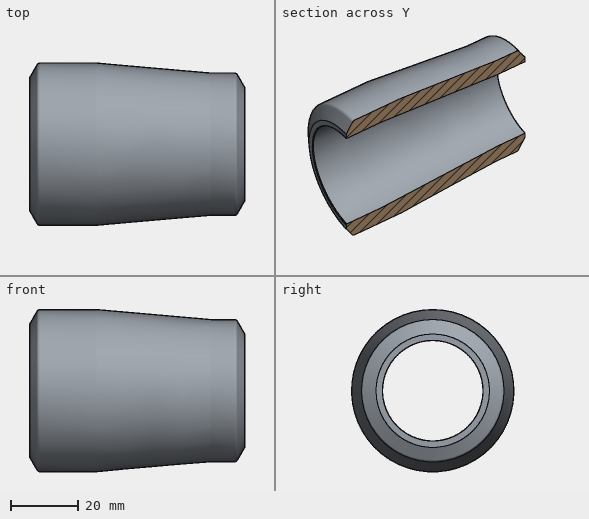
import cadquery as cq
import math

length = 64.0
large_end_length = 20.0
small_end_length = 10.0

large_diameter = 48.3
small_diameter = 42.4
large_bore = 35.7
small_bore = 29.8

bevel_depth = 2.5
large_face_diameter = 39.7
small_face_diameter = large_face_diameter - (large_diameter - small_diameter)

bevel_edge_radius = 1.0
taper_edge_radius = 2.0
mouth_chamfer = 0.25

large_bevel_end = bevel_depth
small_bevel_start = length - bevel_depth
taper_start = large_end_length
taper_end = length - small_end_length
bore_taper_start = 12.4
bore_taper_end = taper_end


def revolved_about_x(profile):
    """Solid of revolution about X from a closed half profile."""
    return profile.close().revolve(360, (0, 0, 0), (1, 0, 0))


def add_rounded_corner(profile, before, corner, after, radius):
    """Draw to a corner of the profile and round it with a tangent arc."""
    corner = cq.Vector(*corner)
    to_before = (cq.Vector(*before) - corner).normalized()
    to_after = (cq.Vector(*after) - corner).normalized()
    half_angle = to_before.getAngle(to_after) / 2
    bisector = (to_before + to_after).normalized()
    setback = radius / math.tan(half_angle)
    arc_depth = radius / math.sin(half_angle) - radius
    arc_start = corner + to_before * setback
    arc_middle = corner + bisector * arc_depth
    arc_end = corner + to_after * setback
    profile = profile.lineTo(arc_start.x, arc_start.y)
    return profile.threePointArc(arc_middle.toTuple()[:2], arc_end.toTuple()[:2])


def outer_body():
    """Bevelled straight ends joined by a taper, with softened edges."""
    large_face_edge = (0, large_face_diameter / 2)
    large_bevel_edge = (large_bevel_end, large_diameter / 2)
    taper_start_edge = (taper_start, large_diameter / 2)
    taper_end_edge = (taper_end, small_diameter / 2)
    small_bevel_edge = (small_bevel_start, small_diameter / 2)
    small_face_edge = (length, small_face_diameter / 2)

    profile = cq.Workplane("XZ").lineTo(*large_face_edge)
    profile = add_rounded_corner(
        profile, large_face_edge, large_bevel_edge, taper_start_edge, bevel_edge_radius
    )
    profile = add_rounded_corner(
        profile, large_bevel_edge, taper_start_edge, taper_end_edge, taper_edge_radius
    )
    profile = profile.lineTo(*taper_end_edge)
    profile = add_rounded_corner(
        profile, taper_end_edge, small_bevel_edge, small_face_edge, bevel_edge_radius
    )
    profile = profile.lineTo(*small_face_edge).lineTo(length, 0)
    return revolved_about_x(profile)


def bore():
    """Through bore: chamfered mouth, straight large end, taper, straight small end."""
    profile = (
        cq.Workplane("XZ")
        .lineTo(0, large_bore / 2 + mouth_chamfer)
        .lineTo(mouth_chamfer, large_bore / 2)
        .lineTo(bore_taper_start, large_bore / 2)
        .lineTo(bore_taper_end, small_bore / 2)
        .lineTo(length, small_bore / 2)
        .lineTo(length, 0)
    )
    return revolved_about_x(profile)


result = outer_body().cut(bore())